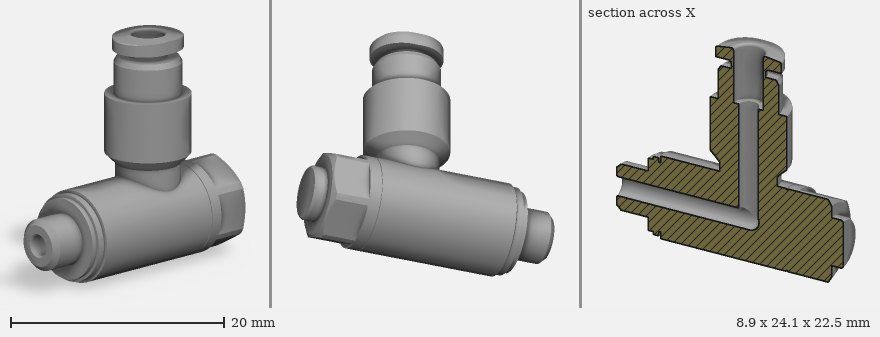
import cadquery as cq
import math


total_length = 24.15
back_end = 10.1
front_end = back_end - total_length
hex_back = back_end - 1.23
hex_front = back_end - 4.83
back_groove_start = back_end - 5.95
body_back = back_end - 6.04
body_front = back_end - 19.46
seal_back = body_front - 0.15
flange_back = body_front - 0.8
flange_front = body_front - 1.3

body_dia = 8.9
back_groove_dia = 8.72
front_groove_dia = 7.49
seal_dia = 8.4
flange_dia = 7.8
spigot_dia = 5.0
spigot_chamfer = 0.5
tip_dia = 5.2
tip_chamfer_length = 0.22
tip_chamfer_depth = 0.17

hex_across_flats = 8.02
hex_face_dia = 7.63
hex_chamfer_length = 0.39

branch_top = 18.0
head_bottom = branch_top - 1.42
sleeve_top = branch_top - 2.22
collar_top = branch_top - 5.82
collar_bottom = branch_top - 11.55
neck_top = branch_top - 12.55

neck_dia = 6.2
collar_dia = 8.2
sleeve_dia = 6.5
sleeve_chamfer_length = 0.5
sleeve_chamfer_depth = 0.3
stem_dia = 3.7
stem_fillet = 0.31

head_width = 6.0
head_length = 7
head_cone_dia = 6.71
head_cone_drop = 0.22

tube_bore_dia = 3.15
tube_mouth_round = (stem_dia - tube_bore_dia) / 2
tube_bore_bottom = collar_top
flow_bore_dia = 2.0
flow_mouth_chamfer = 0.15
flow_bore_end_centre = 0.1


def turned_about_y(profile):
    """Solid of revolution about Y from (radius, y) points, closed along the axis."""
    points = [(0, profile[0][1])] + profile + [(0, profile[-1][1])]
    return cq.Workplane("XY").polyline(points).close().revolve(360, (0, 0, 0), (0, 1, 0))


def turned_about_z(profile):
    """Solid of revolution about Z from (radius, z) points, closed along the axis."""
    points = [(0, profile[0][1])] + profile + [(0, profile[-1][1])]
    return cq.Workplane("XZ").polyline(points).close().revolve(360, (0, 0, 0), (0, 1, 0))


def make_body():
    return turned_about_y([
        (tip_dia / 2 - tip_chamfer_depth, back_end),
        (tip_dia / 2, back_end - tip_chamfer_length),
        (tip_dia / 2, hex_front),
        (body_dia / 2, hex_front),
        (body_dia / 2, back_groove_start),
        (back_groove_dia / 2, back_groove_start),
        (back_groove_dia / 2, body_back),
        (body_dia / 2, body_back),
        (body_dia / 2, body_front),
        (front_groove_dia / 2, body_front),
        (front_groove_dia / 2, seal_back),
        (seal_dia / 2, seal_back),
        (seal_dia / 2, flange_back),
        (flange_dia / 2, flange_back),
        (flange_dia / 2, flange_front),
        (spigot_dia / 2, flange_front),
        (spigot_dia / 2, front_end + spigot_chamfer),
        (spigot_dia / 2 - spigot_chamfer, front_end),
    ])


def make_hexagon():
    corner_dia = hex_across_flats / math.cos(math.pi / 6)
    prism = (
        cq.Workplane("XZ", origin=(0, hex_back, 0))
        .transformed(rotate=(0, 0, 30))
        .polygon(6, corner_dia)
        .extrude(hex_back - hex_front)
    )
    envelope = turned_about_y([
        (hex_face_dia / 2, hex_back),
        (body_dia / 2, hex_back - hex_chamfer_length),
        (body_dia / 2, hex_front),
    ])
    return prism.intersect(envelope)


def make_branch():
    outer = turned_about_z([
        (neck_dia / 2, 0),
        (neck_dia / 2, neck_top),
        (collar_dia / 2, collar_bottom),
        (collar_dia / 2, collar_top),
        (sleeve_dia / 2, collar_top),
        (sleeve_dia / 2, sleeve_top - sleeve_chamfer_length),
        (sleeve_dia / 2 - sleeve_chamfer_depth, sleeve_top),
    ])
    stem_radius = stem_dia / 2
    fillet_start = head_bottom - stem_fillet
    fillet_offset = stem_fillet * (1 - math.sqrt(0.5))
    stem = (
        cq.Workplane("XZ")
        .moveTo(0, collar_top)
        .lineTo(stem_radius, collar_top)
        .lineTo(stem_radius, fillet_start)
        .threePointArc(
            (stem_radius + fillet_offset, head_bottom - fillet_offset),
            (stem_radius + stem_fillet, head_bottom),
        )
        .lineTo(0, head_bottom)
        .close()
        .revolve(360, (0, 0, 0), (0, 1, 0))
    )
    return outer.union(stem)


def make_head():
    disc = (
        cq.Workplane("XY", origin=(0, 0, head_bottom))
        .slot2D(head_length, head_width, 90)
        .extrude(branch_top - head_bottom)
    )
    edge_chamfer = (head_length - head_cone_dia) / 2
    cone_bottom = branch_top - head_cone_drop
    envelope = turned_about_z([
        (head_length / 2, head_bottom),
        (head_length / 2, cone_bottom - edge_chamfer),
        (head_cone_dia / 2, cone_bottom),
        (stem_dia / 2, branch_top),
    ])
    return disc.intersect(envelope)


def make_bores():
    tube_radius = tube_bore_dia / 2
    round_start = branch_top - tube_mouth_round
    round_offset = tube_mouth_round * (1 - math.sqrt(0.5))
    tube_bore = (
        cq.Workplane("XZ")
        .moveTo(0, tube_bore_bottom)
        .lineTo(tube_radius, tube_bore_bottom)
        .lineTo(tube_radius, round_start)
        .threePointArc(
            (tube_radius + round_offset, branch_top - round_offset),
            (tube_radius + tube_mouth_round, branch_top),
        )
        .lineTo(0, branch_top)
        .close()
        .revolve(360, (0, 0, 0), (0, 1, 0))
    )
    flow_radius = flow_bore_dia / 2
    branch_bore = cq.Workplane("XY").circle(flow_radius).extrude(tube_bore_bottom)
    end_offset = flow_radius * math.sqrt(0.5)
    spigot_bore = (
        cq.Workplane("XY")
        .moveTo(0, front_end)
        .lineTo(flow_radius + flow_mouth_chamfer, front_end)
        .lineTo(flow_radius, front_end + flow_mouth_chamfer)
        .lineTo(flow_radius, flow_bore_end_centre)
        .threePointArc(
            (end_offset, flow_bore_end_centre + end_offset),
            (0, flow_bore_end_centre + flow_radius),
        )
        .close()
        .revolve(360, (0, 0, 0), (0, 1, 0))
    )
    return tube_bore.union(branch_bore).union(spigot_bore)



result = make_body().union(make_hexagon()).union(make_branch()).union(make_head()).cut(make_bores())